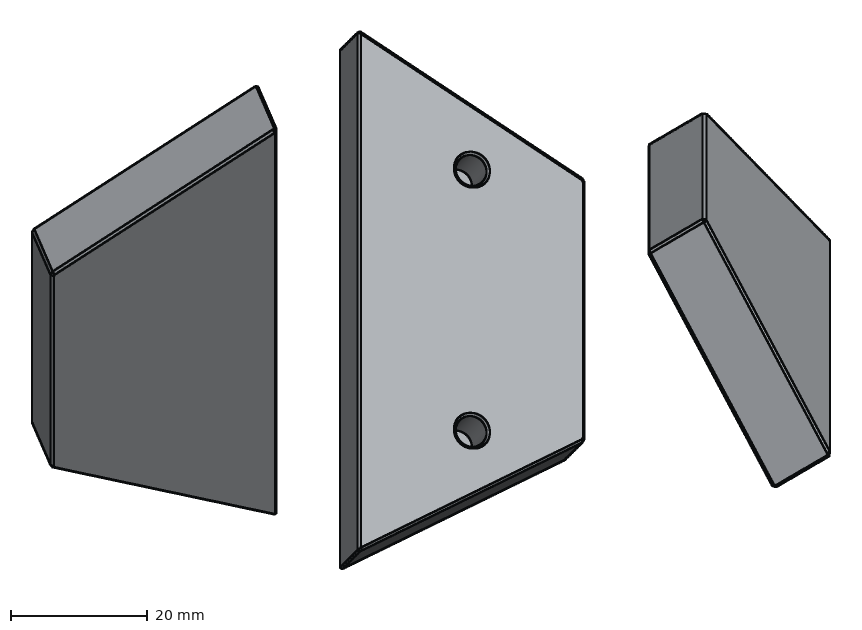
import cadquery as cq
import math

length = 79.6
width = 34.6
thickness = 10.0
edge_chamfer = 0.4
tip_angle = 60.0

hole_diameter = 4.7
hole_mouth_diameter = hole_diameter + 2 * edge_chamfer
hole_depth = 7.95
hole_spacing = 39.95

tip_loss = edge_chamfer * (1 - math.sin(math.radians(90 - tip_angle)))
long_half = length / 2 + tip_loss
short_half = long_half - width / math.tan(math.radians(tip_angle))


def make_plate():
    """Trapezoidal plate, long edge at +Y, with every edge chamfered."""
    outline = [
        (width / 2, -long_half),
        (width / 2, long_half),
        (-width / 2, short_half),
        (-width / 2, -short_half),
    ]
    plate = cq.Workplane("YZ").polyline(outline).close().extrude(thickness / 2, both=True)
    return plate.edges().chamfer(edge_chamfer)


def make_hole(z):
    """Flat-bottomed hole along X with a 45 degree countersunk mouth."""
    hole_radius = hole_diameter / 2
    mouth_radius = hole_mouth_diameter / 2
    mouth_depth = mouth_radius - hole_radius
    face_point = cq.Vector(-thickness / 2, 0, z)
    inward = cq.Vector(1, 0, 0)
    bore = cq.Solid.makeCylinder(hole_radius, hole_depth, face_point, inward)
    mouth = cq.Solid.makeCone(mouth_radius, hole_radius, mouth_depth, face_point, inward)
    return cq.Workplane(bore).union(cq.Workplane(mouth))


result = make_plate()
for hole_z in (-hole_spacing / 2, hole_spacing / 2):
    result = result.cut(make_hole(hole_z))